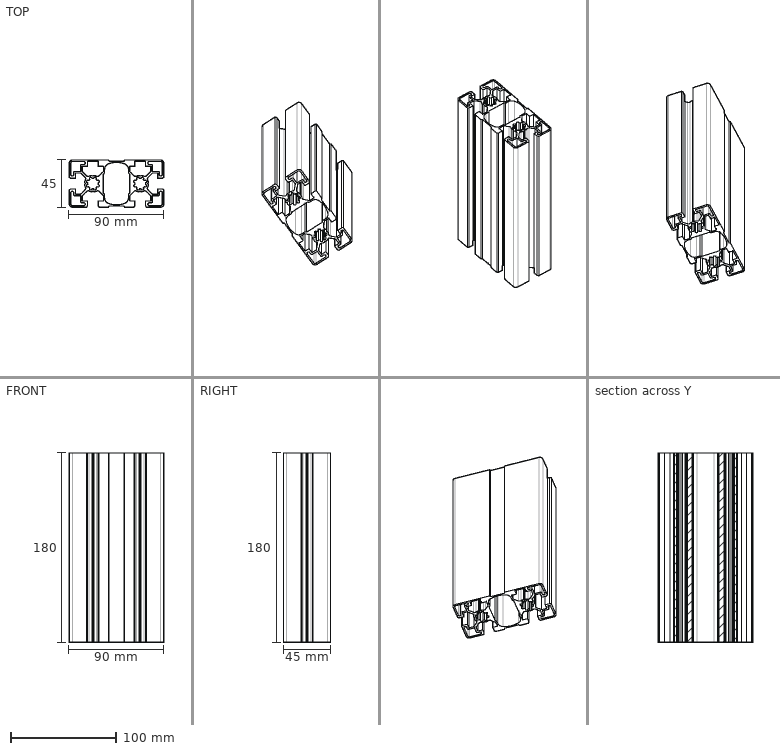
import cadquery as cq
import math

MODULE = 45.0
WIDTH = 2 * MODULE
DEPTH = MODULE
LENGTH = 180.0
CORE_X = MODULE / 2
HALF = MODULE / 2
CORNER_RADIUS = 3.0

LIP_DEPTH = 6.0
MOUTH_HALF = 5.0
MOUTH_FLARE = 0.9
FLARE_DEPTH = 1.4
CHAMBER_HALF = 9.9
WEB_OFFSET = 1.6
CORE_RADIUS = 8.0
CORE_FILLET = 2.0
GROOVE_HALF = 1.0
GROOVE_DEPTH = 0.8
COVER_WALL = 1.4

SKIN = 1.6
CAVITY_INNER = 11.6
POCKET_DEPTH = 4.2
POCKET_END = 7.4
CAVITY_CORNER_RADIUS = 1.4
POCKET_FILLET = 1.1

BORE_RADIUS = 4.9
LOBE_COUNT = 8
LOBE_RADIUS = 1.2
LOBE_CENTRE_RADIUS = 5.2

MIDDLE_WAIST_X = 12.4
MIDDLE_SIDE_X = 11.2
MIDDLE_STEP_Y = 9.0
MIDDLE_CROWN_Y = 20.1
MIDDLE_ROOF_RADIUS = 21.5
MIDDLE_CORNER_RADIUS = 5.2
RECESS_HALF = 7.6
RECESS_TAPER = 0.6
RECESS_DEPTH = 1.2


def prism(outline):
    """Extrude a closed outline over the full profile length."""
    return outline.extrude(LENGTH)


def bar(x_min, x_max, y_min, y_max):
    """Full-length rectangular bar between the given limits."""
    width = x_max - x_min
    depth = y_max - y_min
    return prism(cq.Workplane("XY").center(x_min + width / 2, y_min + depth / 2).rect(width, depth))


def trapezoid_bar(half_bottom, half_top, y_min, y_max):
    """Full-length bar centred on X = 0 that widens from y_min to y_max."""
    return prism(
        cq.Workplane("XY").polyline([
            (-half_bottom, y_min),
            (half_bottom, y_min),
            (half_top, y_max),
            (-half_top, y_max),
        ]).close()
    )


def body_blank():
    blank = prism(cq.Workplane("XY").rect(WIDTH, DEPTH))
    return blank.edges("|Z").fillet(CORNER_RADIUS)


def slot_chamber():
    """Undercut chamber of a slot facing +Y, with the core at the origin."""
    flank_y = CHAMBER_HALF + WEB_OFFSET
    top_y = HALF - LIP_DEPTH
    wedge = prism(
        cq.Workplane("XY").polyline([
            (0, WEB_OFFSET),
            (CHAMBER_HALF, flank_y),
            (CHAMBER_HALF, top_y),
            (-CHAMBER_HALF, top_y),
            (-CHAMBER_HALF, flank_y),
        ]).close()
    )
    chamber = wedge.cut(prism(cq.Workplane("XY").circle(CORE_RADIUS)))
    root_x = (math.sqrt(2 * CORE_RADIUS**2 - WEB_OFFSET**2) - WEB_OFFSET) / 2
    root_y = root_x + WEB_OFFSET
    for side in (-1, 1):
        root = cq.selectors.NearestToPointSelector((side * root_x, root_y, LENGTH / 2))
        chamber = chamber.edges("|Z").edges(root).fillet(CORE_FILLET)
    groove_bottom = CORE_RADIUS - GROOVE_DEPTH
    groove = prism(
        cq.Workplane("XY").polyline([
            (0, groove_bottom),
            (GROOVE_HALF, CORE_RADIUS),
            (-GROOVE_HALF, CORE_RADIUS),
        ]).close()
    )
    return chamber.union(groove)


def open_slot():
    """T-slot facing +Y with a mouth through the face."""
    mouth = bar(-MOUTH_HALF, MOUTH_HALF, HALF - LIP_DEPTH, HALF)
    flare = trapezoid_bar(MOUTH_HALF, MOUTH_HALF + MOUTH_FLARE, HALF - FLARE_DEPTH, HALF)
    return slot_chamber().union(mouth).union(flare)


def covered_slot():
    """T-slot facing +Y that stops below a thin skin."""
    mouth = bar(-MOUTH_HALF, MOUTH_HALF, HALF - LIP_DEPTH, HALF - COVER_WALL)
    return slot_chamber().union(mouth)


def corner_cavity():
    """Hollow of the (+X, +Y) corner, with pockets that run into both lips."""
    outer = HALF - SKIN
    pocket = HALF - POCKET_DEPTH
    outline = cq.Workplane("XY").polyline([
        (outer, outer),
        (POCKET_END, outer),
        (POCKET_END, pocket),
        (CAVITY_INNER, pocket),
        (CAVITY_INNER, CAVITY_INNER),
        (pocket, CAVITY_INNER),
        (pocket, POCKET_END),
        (outer, POCKET_END),
    ]).close()
    cavity = prism(outline)
    rounded_corners = [
        (outer, outer, CAVITY_CORNER_RADIUS),
        (POCKET_END, outer, POCKET_FILLET),
        (POCKET_END, pocket, POCKET_FILLET),
        (CAVITY_INNER, pocket, POCKET_FILLET),
        (pocket, CAVITY_INNER, POCKET_FILLET),
        (pocket, POCKET_END, POCKET_FILLET),
        (outer, POCKET_END, POCKET_FILLET),
    ]
    for x, y, radius in rounded_corners:
        corner = cq.selectors.NearestToPointSelector((x, y, LENGTH / 2))
        cavity = cavity.edges("|Z").edges(corner).fillet(radius)
    return cavity


def toothed_bore():
    """Round bore with lobes around its rim; the teeth stand between the lobes."""
    bore = prism(cq.Workplane("XY").circle(BORE_RADIUS))
    lobe_pitch = 360 / LOBE_COUNT
    lobes = prism(
        cq.Workplane("XY")
        .polarArray(LOBE_CENTRE_RADIUS, lobe_pitch / 2, 360, LOBE_COUNT)
        .circle(LOBE_RADIUS)
    )
    return bore.union(lobes)


def core_cutouts():
    """All hollows around the core of the +X half, with the core at the origin."""
    slot = open_slot()
    cavity = corner_cavity()
    facing_x = slot.rotate((0, 0, 0), (0, 0, 1), -90)
    facing_down = slot.mirror("XZ")
    cutouts = [covered_slot(), facing_x, facing_down, cavity, cavity.mirror("XZ"), toothed_bore()]
    return [cutout.translate((CORE_X, 0, 0)) for cutout in cutouts]


def middle_chamber():
    """Large hollow between the cores: bowed roof and floor, wider at the waist."""
    bend_y = MIDDLE_STEP_Y + MIDDLE_WAIST_X - MIDDLE_SIDE_X
    roof_centre_y = MIDDLE_CROWN_Y - MIDDLE_ROOF_RADIUS
    centre_gap = MIDDLE_ROOF_RADIUS - MIDDLE_CORNER_RADIUS
    corner_x = MIDDLE_SIDE_X - MIDDLE_CORNER_RADIUS
    tangent_angle = math.acos(corner_x / centre_gap)
    corner_y = roof_centre_y + centre_gap * math.sin(tangent_angle)
    shoulder_x = MIDDLE_ROOF_RADIUS * math.cos(tangent_angle)
    shoulder_y = roof_centre_y + MIDDLE_ROOF_RADIUS * math.sin(tangent_angle)
    arc_x = corner_x + MIDDLE_CORNER_RADIUS * math.cos(tangent_angle / 2)
    arc_y = corner_y + MIDDLE_CORNER_RADIUS * math.sin(tangent_angle / 2)
    upper_half = prism(
        cq.Workplane("XY")
        .moveTo(MIDDLE_WAIST_X, 0)
        .lineTo(MIDDLE_WAIST_X, MIDDLE_STEP_Y)
        .lineTo(MIDDLE_SIDE_X, bend_y)
        .lineTo(MIDDLE_SIDE_X, corner_y)
        .threePointArc((arc_x, arc_y), (shoulder_x, shoulder_y))
        .threePointArc((0, MIDDLE_CROWN_Y), (-shoulder_x, shoulder_y))
        .threePointArc((-arc_x, arc_y), (-MIDDLE_SIDE_X, corner_y))
        .lineTo(-MIDDLE_SIDE_X, bend_y)
        .lineTo(-MIDDLE_WAIST_X, MIDDLE_STEP_Y)
        .lineTo(-MIDDLE_WAIST_X, 0)
        .close()
    )
    return upper_half.union(upper_half.mirror("XZ"))


def face_recess():
    """Shallow recess along the middle of the +Y face."""
    face_y = DEPTH / 2
    return trapezoid_bar(RECESS_HALF - RECESS_TAPER, RECESS_HALF, face_y - RECESS_DEPTH, face_y)


def build_profile():
    profile = body_blank()
    for cutout in core_cutouts():
        profile = profile.cut(cutout).cut(cutout.mirror("YZ"))
    profile = profile.cut(middle_chamber())
    recess = face_recess()
    return profile.cut(recess).cut(recess.mirror("XZ"))


result = build_profile()